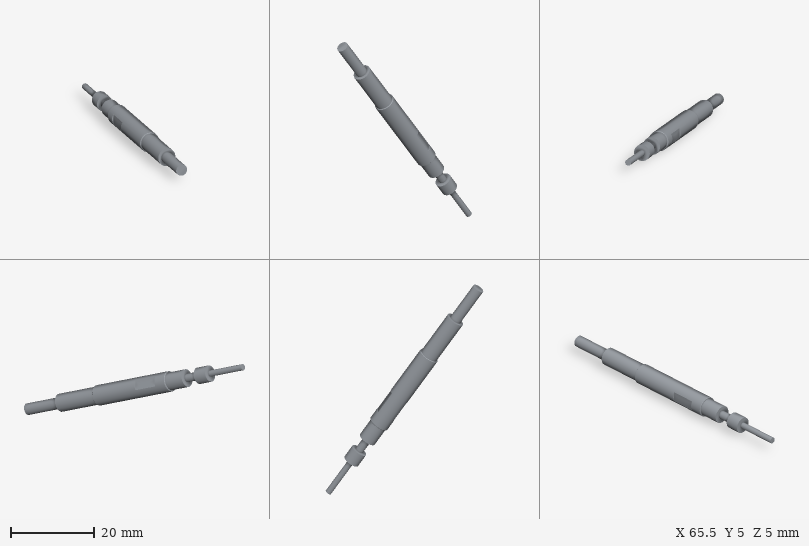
import cadquery as cq

overall_length = 65.5

pin_diameter = 1.5
pin_length = 10.0
collar_diameter = 4.0
collar_length = 3.5
neck_diameter = 2.0
neck_length = 3.55
nose_diameter = 4.3
nose_length = 5.0
body_diameter = 5.0
body_length = 22.0
body_chamfer = 0.1
sleeve_diameter = 4.4
sleeve_length = 11.45
tail_diameter = 2.8

flats_setback = 3.0
flats_length = 6.0
across_flats = 4.3

body_start = pin_length + collar_length + neck_length + nose_length
tail_length = overall_length - body_start - body_length - sleeve_length


def cylinder(start, length, diameter):
    """Solid cylinder along X whose left face is at the given X."""
    return cq.Workplane("YZ", origin=(start, 0, 0)).circle(diameter / 2).extrude(length)


def make_body():
    """Largest barrel, chamfered at both ends, with two wrench flats."""
    body = cylinder(body_start, body_length, body_diameter)
    body = body.faces("<X or >X").chamfer(body_chamfer)
    flats_center = body_start + flats_setback + flats_length / 2
    for side in (-1, 1):
        cutter_center = side * (across_flats + body_diameter) / 2
        cutter = cq.Workplane("XY").box(flats_length, body_diameter, body_diameter)
        body = body.cut(cutter.translate((flats_center, cutter_center, 0)))
    return body


front_sections = [
    (pin_length, pin_diameter),
    (collar_length, collar_diameter),
    (neck_length, neck_diameter),
    (nose_length, nose_diameter),
]
rear_sections = [
    (sleeve_length, sleeve_diameter),
    (tail_length, tail_diameter),
]

result = make_body()
for first_start, sections in ((0, front_sections), (body_start + body_length, rear_sections)):
    section_start = first_start
    for length, diameter in sections:
        result = result.union(cylinder(section_start, length, diameter))
        section_start += length